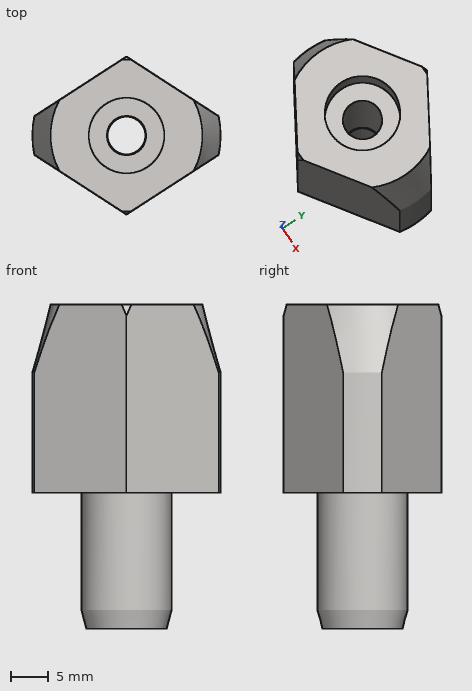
import cadquery as cq
import math

total_height = 43
head_height = 25.0
shank_length = total_height - head_height

head_radius = 12.49
rhombus_half_y = 10.47
flat_angle = 32.9
rhombus_half_x = rhombus_half_y / math.tan(math.radians(flat_angle))
taper_angle = 15
taper_slope = math.tan(math.radians(taper_angle))
head_taper_height = 9.07

shank_radius = 6.0
tip_height = 2.5

counterbore_diameter = 10.0
counterbore_depth = 5.0
upper_bore_diameter = 5.2
lower_bore_diameter = 5.0


def make_head():
    prism = (
        cq.Workplane("XY")
        .polyline([
            (rhombus_half_x, 0),
            (0, rhombus_half_y),
            (-rhombus_half_x, 0),
            (0, -rhombus_half_y),
        ])
        .close()
        .extrude(head_height)
    )
    top_radius = head_radius - head_taper_height * taper_slope
    envelope = (
        cq.Workplane("XZ")
        .lineTo(head_radius, 0)
        .lineTo(head_radius, head_height - head_taper_height)
        .lineTo(top_radius, head_height)
        .lineTo(0, head_height)
        .close()
        .revolve(360, (0, 0), (0, 1))
    )
    return prism.intersect(envelope)


def make_shank():
    tip_radius = shank_radius - tip_height * taper_slope
    return (
        cq.Workplane("XZ")
        .lineTo(shank_radius, 0)
        .lineTo(shank_radius, tip_height - shank_length)
        .lineTo(tip_radius, -shank_length)
        .lineTo(0, -shank_length)
        .close()
        .revolve(360, (0, 0), (0, 1))
    )


body = make_head().union(make_shank())

counterbore_floor = head_height - counterbore_depth
lower_bore = cq.Workplane("XY").circle(lower_bore_diameter / 2).extrude(-shank_length)
upper_bore = cq.Workplane("XY").circle(upper_bore_diameter / 2).extrude(head_height)
counterbore = (
    cq.Workplane("XY", origin=(0, 0, counterbore_floor))
    .circle(counterbore_diameter / 2)
    .extrude(counterbore_depth)
)

result = body.cut(lower_bore).cut(upper_bore).cut(counterbore)